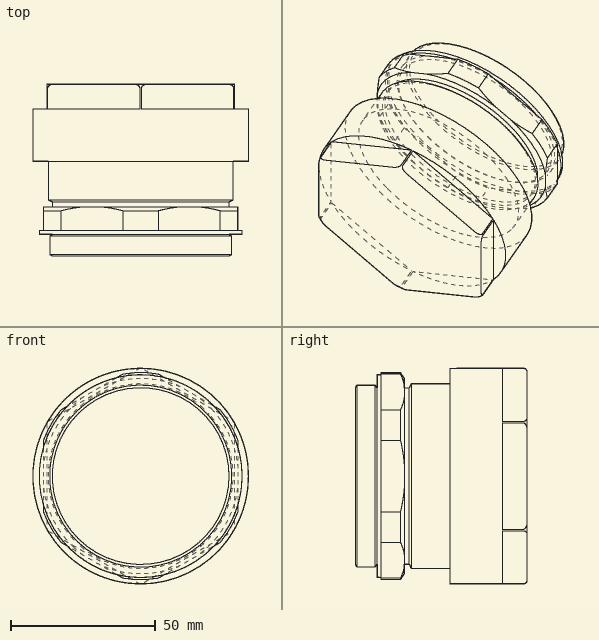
import cadquery as cq

total_length = 59.4
plug_dia = 62.9
neck_dia = 61.0
body_dia = 63.85
washer_dia = 70.0
flange_dia = 74.5

plug_chamfer_length = 0.5
plug_end = 6.85
washer_start = 7.5
lock_nut_start = 8.9
lock_nut_end = 17.0
body_chamfer_start = 18.6
body_start = 19.4
flange_start = 32.7
flange_end = 50.8

lock_nut_flats = 67.1
lock_nut_corner_dia = 71.5
lock_nut_face_dia = 67.5
lock_nut_chamfer_length = 1.35

cap_nut_flats = 64.8
cap_nut_edge_round = 1.35


def revolve_profile(points):
    """Revolve (radius, station) points, closed along the axis, about Y."""
    start = points[0][1]
    end = points[-1][1]
    outline = [(0, start)] + points + [(0, end)]
    return cq.Workplane("XY").polyline(outline).close().revolve(360, (0, 0, 0), (0, 1, 0))


def hex_prism(flats, start, end):
    """Hexagonal prism along Y with two opposite corners on the Z axis."""
    hexagon = cq.Workplane("XZ").polygon(6, flats, circumscribed=True)
    prism = hexagon.extrude(start - end)
    return prism.translate((0, start, 0))


def turned_body():
    """Plug, washer, necks, body and flange as one stepped profile."""
    return revolve_profile([
        (neck_dia / 2, 0),
        (plug_dia / 2, plug_chamfer_length),
        (plug_dia / 2, plug_end),
        (neck_dia / 2, washer_start),
        (washer_dia / 2, washer_start),
        (washer_dia / 2, lock_nut_start),
        (neck_dia / 2, lock_nut_start),
        (neck_dia / 2, body_chamfer_start),
        (body_dia / 2, body_start),
        (body_dia / 2, flange_start),
        (flange_dia / 2, flange_start),
        (flange_dia / 2, flange_end),
    ])


def lock_nut():
    """Hexagon with its corners turned round and its rear edge chamfered."""
    blank = revolve_profile([
        (lock_nut_corner_dia / 2, lock_nut_start),
        (lock_nut_corner_dia / 2, lock_nut_end - lock_nut_chamfer_length),
        (lock_nut_face_dia / 2, lock_nut_end),
    ])
    return blank.intersect(hex_prism(lock_nut_flats, lock_nut_start, lock_nut_end))


def cap_nut():
    """Rear hexagon trimmed to the flange diameter, with rounded rear corners."""
    blank = revolve_profile([
        (flange_dia / 2, flange_end),
        (flange_dia / 2, total_length),
    ]).faces(">Y").edges().fillet(cap_nut_edge_round)
    return blank.intersect(hex_prism(cap_nut_flats, flange_end, total_length))


result = turned_body().union(lock_nut()).union(cap_nut())